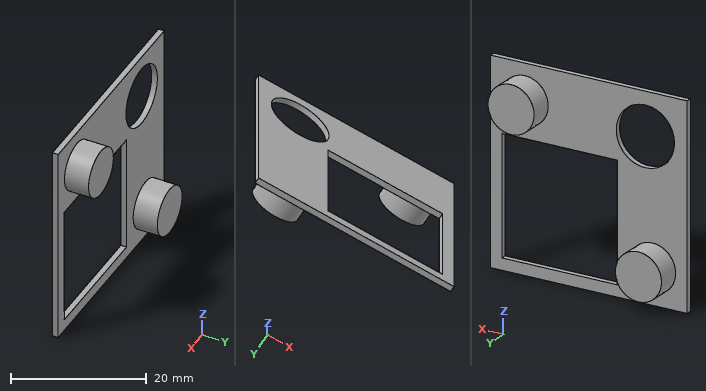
import cadquery as cq

plate_side = 34.0
plate_thickness = 1.0
edge_margin = 2.0
window_side = 19.9
hole_diameter = 10.0
hole_margin = 2.25
peg_diameter = 8.0
peg_length = 4.0

half_side = plate_side / 2
window_offset = half_side - edge_margin - window_side / 2
hole_offset = half_side - hole_margin - hole_diameter / 2
peg_offset = half_side - edge_margin - peg_diameter / 2


def back_facing_plane(y):
    """Plane parallel to XZ at the given Y, with its normal toward +Y and local y along -Z."""
    return cq.Workplane(cq.Plane(origin=(0, y, 0), xDir=(1, 0, 0), normal=(0, 1, 0)))


def make_plate():
    """Thin square plate with its front face at Y = 0, a square window and a round hole."""
    front = back_facing_plane(0)
    blank = front.rect(plate_side, plate_side).extrude(plate_thickness)
    window = (
        front.center(window_offset, window_offset)
        .rect(window_side, window_side)
        .extrude(plate_thickness)
    )
    hole = (
        front.center(-hole_offset, -hole_offset)
        .circle(hole_diameter / 2)
        .extrude(plate_thickness)
    )
    return blank.cut(window).cut(hole)


def make_peg(x, z):
    """Round peg standing on the back face of the plate."""
    return (
        back_facing_plane(plate_thickness)
        .center(x, -z)
        .circle(peg_diameter / 2)
        .extrude(peg_length)
    )


plate = make_plate()

pegs = [make_peg(side * peg_offset, side * peg_offset) for side in (-1, 1)]

result = cq.Compound.makeCompound([plate.val(), *[peg.val() for peg in pegs]])